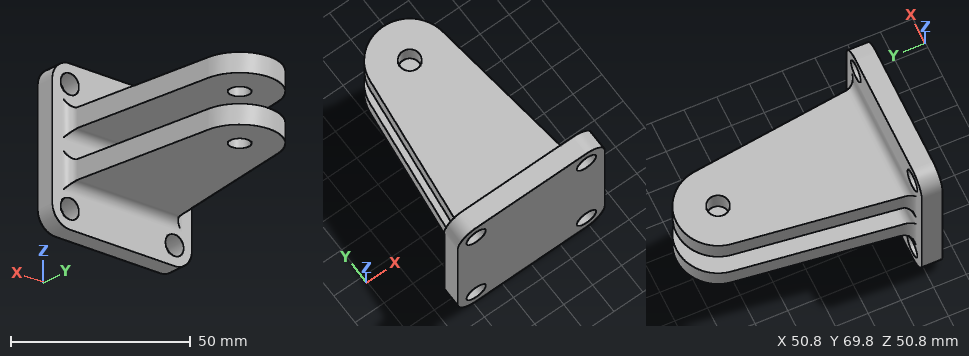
import cadquery as cq
import math

plate_side = 50.8
plate_thickness = 6.35
corner_radius = 6.35
hole_diameter = 6.6
plate_hole_pitch = plate_side - 2 * corner_radius

overall_length = 69.8
lug_thickness = 6.35
lug_gap = 9.5
tip_radius = 12.7
base_half_width = 19.05
root_fillet = 3.15
pin_y = overall_length - tip_radius


def make_plate():
    plate = cq.Workplane("XZ").rect(plate_side, plate_side).extrude(-plate_thickness)
    plate = plate.edges("|Y").fillet(corner_radius)
    holes = (
        cq.Workplane("XZ")
        .rect(plate_hole_pitch, plate_hole_pitch, forConstruction=True)
        .vertices()
        .circle(hole_diameter / 2)
        .extrude(-plate_thickness)
    )
    return plate.cut(holes)


def make_lug(bottom_z):
    pin_height = pin_y - plate_thickness
    corner_distance = math.hypot(base_half_width, pin_height)
    corner_angle = math.atan2(-pin_height, base_half_width)
    tangent_angle = corner_angle + math.acos(tip_radius / corner_distance)
    tangent_x = tip_radius * math.cos(tangent_angle)
    tangent_y = pin_y + tip_radius * math.sin(tangent_angle)
    return (
        cq.Workplane("XY", origin=(0, 0, bottom_z))
        .moveTo(-base_half_width, plate_thickness)
        .lineTo(base_half_width, plate_thickness)
        .lineTo(tangent_x, tangent_y)
        .threePointArc((0, overall_length), (-tangent_x, tangent_y))
        .close()
        .extrude(lug_thickness)
    )


def fillet_lug_roots(body):
    reach = base_half_width + root_fillet / 2
    lug_reach = lug_gap / 2 + lug_thickness + root_fillet / 2
    face_band = root_fillet / 2
    root_zone = cq.selectors.BoxSelector(
        (-reach, plate_thickness - face_band, -lug_reach),
        (reach, plate_thickness + face_band, lug_reach),
    )
    return body.edges(root_zone).fillet(root_fillet)


body = make_plate()
for bottom_z in (lug_gap / 2, -lug_gap / 2 - lug_thickness):
    body = body.union(make_lug(bottom_z))
body = fillet_lug_roots(body)

pin_hole = (
    cq.Workplane("XY")
    .center(0, pin_y)
    .circle(hole_diameter / 2)
    .extrude(lug_gap / 2 + lug_thickness, both=True)
)
result = body.cut(pin_hole)